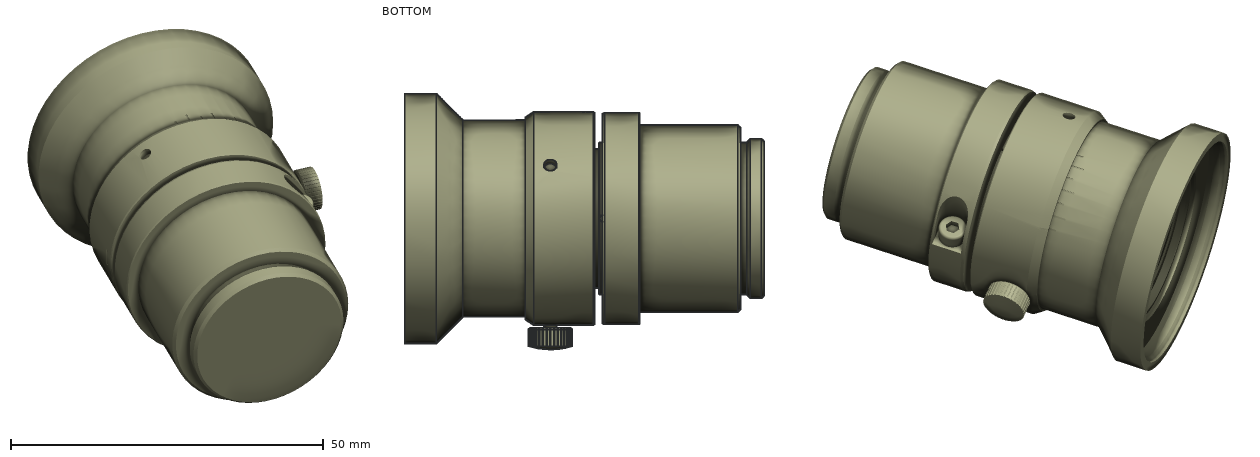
import cadquery as cq
import math


hood_rim_end = 5.05
aperture_ring_start = 19.25
aperture_ring_end = 30.35
flange_start = 31.05
clamp_start = 31.6
clamp_end = 37.6
body_end = 53.7
thread_start = 54.65
total_length = 57.45

hood_radius = 20.0
barrel_radius = 31.5 / 2
aperture_ring_radius = 17.05
neck_radius = 11.15
flange_radius = 12.2
clamp_radius = 16.95
body_radius = 15.0
thread_radius = 25.6 / 2
thread_root_radius = 12.2

barrel_start = hood_rim_end + hood_radius - barrel_radius

ring_chamfer_length = 1.4
ring_chamfer_height = 0.9
edge_chamfer = 0.2
clamp_front_chamfer = 0.4
body_chamfer = 0.45
thread_front_chamfer = thread_radius - thread_root_radius

hood_bore_radius = 37.1 / 2
hood_bore_depth = 0.5
hood_lip_radius = 18.05
hood_lip_end = 2.1
hood_undercut_radius = 18.4
hood_floor_depth = 3.1

recess_radius = 25.6 / 2
recess_depth = 3.45
retainer_radius = 12.4
retainer_lip_radius = 11.8
retainer_lip_end = 4.25
retainer_undercut_radius = 12.2
retainer_floor_depth = 5.2

lens_seat_radius = 10.75
lens_radius = 21.0 / 2
lens_bulge = 1.1

screw_station = 23.3
set_screw_hole_diameter = 2.05
set_screw_angles = (60, -60)
knob_neck_diameter = 2.05
knob_radius = 3.5
knob_neck_overlap = 0.6
knob_bottom = 17.45
knob_shoulder = 20.4
knob_top = 21.0
knob_chamfer = 0.3
knurl_count = 36
knurl_radius = 0.085

pin_hole_station = 31.7
pin_hole_diameter = 1.1
pin_hole_depth = 0.85
pin_hole_count = 4

clamp_screw_x = 34.7
clamp_screw_y = 13.5
clamp_pocket_radius = 2.45
clamp_pocket_floor = 5.0
screw_head_radius = 4.5 / 2
screw_head_height = 2.5
screw_head_fillet = 0.4
hex_across_flats = 2.0
hex_depth = 1.15

mark_depth = 0.1
mark_width = 0.3
tick_count = 7
tick_pitch = 8.0
first_tick_angle = -5.5
short_tick = 1.15
long_tick = 2.1
chamfer_mark_angle = 43
index_mark_station = 28.55
index_mark_length = 3.05


def make_lens_body():
    """Revolve the stepped outer profile together with the stepped front opening."""
    ring_inner = aperture_ring_radius - ring_chamfer_height
    funnel_end = hood_bore_depth + hood_bore_radius - hood_lip_radius
    retainer_face = recess_depth + recess_radius - retainer_radius
    lens_edge = retainer_floor_depth + lens_seat_radius - lens_radius
    lens_sphere_radius = (lens_radius**2 + lens_bulge**2) / (2 * lens_bulge)
    lens_half_angle = math.asin(lens_radius / lens_sphere_radius)
    lens_apex = lens_edge - lens_bulge
    lens_mid = (
        lens_apex + lens_sphere_radius * (1 - math.cos(lens_half_angle / 2)),
        lens_sphere_radius * math.sin(lens_half_angle / 2),
    )
    profile = (
        cq.Workplane("XY")
        .moveTo(lens_apex, 0)
        .threePointArc(lens_mid, (lens_edge, lens_radius))
        .lineTo(retainer_floor_depth, lens_seat_radius)
        .lineTo(retainer_floor_depth, retainer_undercut_radius)
        .lineTo(retainer_lip_end, retainer_undercut_radius)
        .lineTo(retainer_lip_end, retainer_lip_radius)
        .lineTo(retainer_face, retainer_lip_radius)
        .lineTo(retainer_face, retainer_radius)
        .lineTo(recess_depth, recess_radius)
        .lineTo(hood_floor_depth, recess_radius)
        .lineTo(hood_floor_depth, hood_undercut_radius)
        .lineTo(hood_lip_end, hood_undercut_radius)
        .lineTo(hood_lip_end, hood_lip_radius)
        .lineTo(funnel_end, hood_lip_radius)
        .lineTo(hood_bore_depth, hood_bore_radius)
        .lineTo(0, hood_bore_radius)
        .lineTo(0, hood_radius)
        .lineTo(hood_rim_end, hood_radius)
        .lineTo(barrel_start, barrel_radius)
        .lineTo(aperture_ring_start, barrel_radius)
        .lineTo(aperture_ring_start, ring_inner)
        .lineTo(aperture_ring_start + ring_chamfer_length, aperture_ring_radius)
        .lineTo(aperture_ring_end - edge_chamfer, aperture_ring_radius)
        .lineTo(aperture_ring_end, aperture_ring_radius - edge_chamfer)
        .lineTo(aperture_ring_end, neck_radius)
        .lineTo(flange_start, neck_radius)
        .lineTo(flange_start, flange_radius - edge_chamfer)
        .lineTo(flange_start + edge_chamfer, flange_radius)
        .lineTo(clamp_start, flange_radius)
        .lineTo(clamp_start, clamp_radius - edge_chamfer)
        .lineTo(clamp_start + clamp_front_chamfer, clamp_radius)
        .lineTo(clamp_end - edge_chamfer, clamp_radius)
        .lineTo(clamp_end, clamp_radius - edge_chamfer)
        .lineTo(clamp_end, body_radius)
        .lineTo(body_end - body_chamfer, body_radius)
        .lineTo(body_end, body_radius - body_chamfer)
        .lineTo(body_end, thread_root_radius)
        .lineTo(thread_start, thread_root_radius)
        .lineTo(thread_start + thread_front_chamfer, thread_radius)
        .lineTo(total_length - body_chamfer, thread_radius)
        .lineTo(total_length, thread_radius - body_chamfer)
        .lineTo(total_length, 0)
        .close()
    )
    return profile.revolve(360, (0, 0, 0), (1, 0, 0))


def make_radial_hole(station, diameter, inner_radius, outer_radius, angle):
    """Hole pointing away from the axis between two radii; angle is measured from -Y."""
    hole = (
        cq.Workplane("XZ", origin=(station, 0, 0))
        .workplane(offset=inner_radius)
        .circle(diameter / 2)
        .extrude(outer_radius - inner_radius)
    )
    return hole.rotate((0, 0, 0), (1, 0, 0), angle)


def make_thumb_screw():
    """Knurled, domed knob on a short neck, pointing along +Y."""
    knob_neck_radius = knob_neck_diameter / 2
    knob_neck_start = barrel_radius - knob_neck_overlap
    dome_height = knob_top - knob_shoulder
    dome_sphere_radius = (knob_radius**2 + dome_height**2) / (2 * dome_height)
    dome_half_angle = math.asin(knob_radius / dome_sphere_radius)
    dome_mid = (
        dome_sphere_radius * math.sin(dome_half_angle / 2),
        knob_top - dome_sphere_radius * (1 - math.cos(dome_half_angle / 2)),
    )
    profile = (
        cq.Workplane("XY", origin=(screw_station, 0, 0))
        .moveTo(0, knob_neck_start)
        .lineTo(knob_neck_radius, knob_neck_start)
        .lineTo(knob_neck_radius, knob_bottom)
        .lineTo(knob_radius - knob_chamfer, knob_bottom)
        .lineTo(knob_radius, knob_bottom + knob_chamfer)
        .lineTo(knob_radius, knob_shoulder)
        .threePointArc(dome_mid, (0, knob_top))
        .close()
    )
    knob = profile.revolve(360, (0, 0, 0), (0, 1, 0))
    grooves = (
        cq.Workplane("XZ", origin=(screw_station, knob_top, 0))
        .polarArray(knob_radius, 0, 360, knurl_count)
        .circle(knurl_radius)
        .extrude(knob_top - knob_bottom)
    )
    return knob.cut(grooves)


def make_clamp_pocket():
    """U-shaped pocket, open towards +Y and +Z, for the head of the clamp screw."""
    center = (clamp_screw_x, clamp_screw_y)
    reach = clamp_radius - clamp_screw_y
    pocket = cq.Workplane("XY", origin=(*center, clamp_pocket_floor))
    round_end = pocket.circle(clamp_pocket_radius).extrude(clamp_radius)
    straight = (
        pocket.center(0, reach / 2)
        .rect(2 * clamp_pocket_radius, reach)
        .extrude(clamp_radius)
    )
    return round_end.union(straight)


def make_clamp_screw():
    """Socket head screw standing on the pocket floor."""
    center = (clamp_screw_x, clamp_screw_y)
    corner_diameter = hex_across_flats / math.cos(math.radians(30))
    return (
        cq.Workplane("XY", origin=(*center, clamp_pocket_floor))
        .circle(screw_head_radius)
        .extrude(screw_head_height)
        .faces(">Z")
        .fillet(screw_head_fillet)
        .faces(">Z")
        .workplane()
        .polygon(6, corner_diameter)
        .cutBlind(-hex_depth)
    )


def make_tick(index):
    """Shallow axial scale mark on the barrel, running up to the aperture ring."""
    length = long_tick if index % 2 else short_tick
    tick = cq.Workplane("XY").box(length, mark_width, 2 * mark_depth)
    tick = tick.translate((aperture_ring_start - length / 2, 0, barrel_radius))
    angle = first_tick_angle + index * tick_pitch
    return tick.rotate((0, 0, 0), (1, 0, 0), -angle)


def make_chamfer_mark():
    """Shallow line engraved along the front chamfer of the aperture ring."""
    slope = math.degrees(math.atan2(ring_chamfer_height, ring_chamfer_length))
    slant_length = math.hypot(ring_chamfer_height, ring_chamfer_length)
    mark = cq.Workplane("XY").box(slant_length, mark_width, 2 * mark_depth)
    mark = mark.rotate((0, 0, 0), (0, 1, 0), -slope)
    mark = mark.translate(
        (
            aperture_ring_start + ring_chamfer_length / 2,
            0,
            aperture_ring_radius - ring_chamfer_height / 2,
        )
    )
    return mark.rotate((0, 0, 0), (1, 0, 0), -chamfer_mark_angle)


def make_index_mark():
    """Shallow line engraved on the -Y side of the aperture ring, along Z."""
    mark = cq.Workplane("XY").box(mark_width, 2 * mark_depth, index_mark_length)
    return mark.translate((index_mark_station, -aperture_ring_radius, 0))


result = make_lens_body()
result = result.cut(make_clamp_pocket()).union(make_clamp_screw())
for angle in set_screw_angles:
    set_screw_hole = make_radial_hole(
        screw_station, set_screw_hole_diameter, barrel_radius, aperture_ring_radius, angle
    )
    result = result.cut(set_screw_hole)
for index in range(pin_hole_count):
    pin_hole = make_radial_hole(
        pin_hole_station,
        pin_hole_diameter,
        flange_radius - pin_hole_depth,
        flange_radius,
        index * 360 / pin_hole_count,
    )
    result = result.cut(pin_hole)
for index in range(tick_count):
    result = result.cut(make_tick(index))
result = result.cut(make_chamfer_mark())
result = result.cut(make_index_mark())
result = result.union(make_thumb_screw())